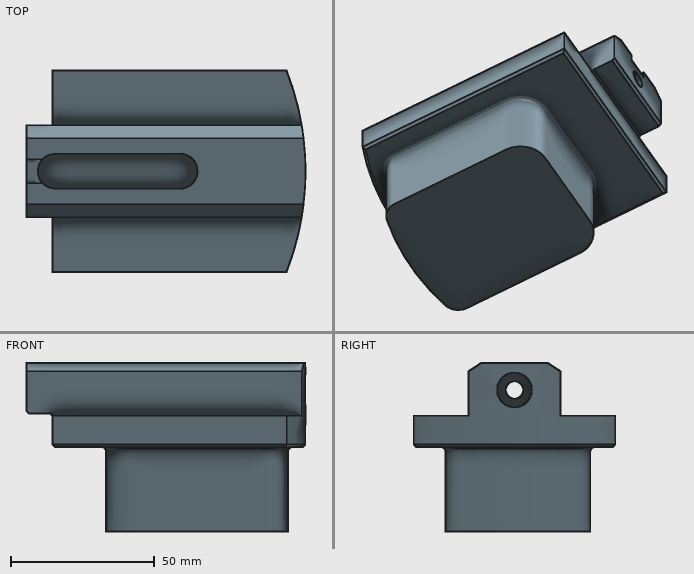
import cadquery as cq
import math

length = 97.0
width = 70.0
height = 58.6
nose_radius = 96.0

plate_start = 9.0
plate_bottom = height - 29.3
plate_top = height - 18.3
edge_chamfer = 1.0

rail_width = 32.0
rail_bevel_width = 4.5
rail_bevel_height = 2.9
rail_step = 0.7

boss_start = 27.6
boss_end = 91.0
boss_width = 50.4
boss_offset_y = 1.2
boss_y_min = boss_offset_y - boss_width / 2
boss_y_max = boss_offset_y + boss_width / 2
boss_start_corner_radius = 10.0
boss_end_corner_radius = 6.0
boss_root_fillet = 1.5
select_margin = 0.5

slot_start = 4.0
slot_length = 55.5
slot_width = 12.0
notch_width = 8.2
notch_depth = 3.0
bore_depth = 9.4
small_bore_diameter = 6.0
large_bore_diameter = slot_width
slot_floor_clearance = 0.6
slot_depth = bore_depth + large_bore_diameter / 2 + slot_floor_clearance


def rounded_nose_blank(start, end, y_min, y_max, bottom, top):
    """Block whose +X end is an arc concentric with the nose, cresting at x = end on Y = 0."""
    arc_centre = length - nose_radius
    radius = end - arc_centre
    corner_low = arc_centre + math.sqrt(radius**2 - y_min**2)
    corner_high = arc_centre + math.sqrt(radius**2 - y_max**2)
    return (
        cq.Workplane("XY", origin=(0, 0, bottom))
        .moveTo(start, y_min)
        .lineTo(corner_low, y_min)
        .threePointArc((end, 0), (corner_high, y_max))
        .lineTo(start, y_max)
        .close()
        .extrude(top - bottom)
    )


def make_plate():
    plate = rounded_nose_blank(plate_start, length, -width / 2, width / 2, plate_bottom, plate_top)
    return plate.faces("<Z").edges().chamfer(edge_chamfer)


def make_rail():
    underside = plate_top + rail_step
    half = rail_width / 2
    bevelled = (
        cq.Workplane("YZ")
        .moveTo(-half, plate_bottom + edge_chamfer)
        .lineTo(half, plate_bottom + edge_chamfer)
        .lineTo(half, height - rail_bevel_height)
        .lineTo(half - rail_bevel_width, height)
        .lineTo(-half + rail_bevel_width, height)
        .lineTo(-half, height - rail_bevel_height)
        .close()
        .extrude(length)
    )
    side = (
        cq.Workplane("XZ")
        .moveTo(0, height)
        .lineTo(0, underside + edge_chamfer)
        .lineTo(edge_chamfer, underside)
        .lineTo(plate_start - rail_step, underside)
        .lineTo(plate_start, plate_top)
        .lineTo(plate_start, plate_bottom + edge_chamfer)
        .lineTo(length, plate_bottom + edge_chamfer)
        .lineTo(length, height)
        .close()
        .extrude(rail_width / 2, both=True)
    )
    nose = rounded_nose_blank(0, length, -half, half, plate_bottom, height)
    return bevelled.intersect(side).intersect(nose)


def make_boss():
    boss = rounded_nose_blank(boss_start, boss_end, boss_y_min, boss_y_max, 0, plate_bottom)
    boss = boss.edges("|Z and <X").fillet(boss_start_corner_radius)
    end_corners = cq.selectors.BoxSelector(
        (boss_end - boss_end_corner_radius, boss_y_min - select_margin, 0),
        (boss_end, boss_y_max + select_margin, plate_bottom),
    )
    return boss.edges("|Z").edges(end_corners).fillet(boss_end_corner_radius)


def fillet_boss_root(body):
    """Fillet the seam where the boss meets the plate underside."""
    seam_box = cq.selectors.BoxSelector(
        (boss_start - select_margin, boss_y_min - select_margin, plate_bottom - select_margin),
        (
            boss_end + select_margin,
            boss_y_max + select_margin,
            plate_bottom + select_margin,
        ),
        boundingbox=True,
    )
    return body.edges(seam_box).fillet(boss_root_fillet)


def make_slot():
    return (
        cq.Workplane("XY", origin=(slot_start + slot_length / 2, 0, height - slot_depth))
        .slot2D(slot_length, slot_width)
        .extrude(slot_depth)
    )


def make_notch():
    notch_length = slot_start + slot_width / 2
    return cq.Workplane("XY", origin=(0, 0, height - notch_depth)).box(
        notch_length, notch_width, notch_depth, centered=(False, True, False)
    )


def make_bore(start, end, diameter):
    return (
        cq.Workplane("YZ", origin=(start, 0, height - bore_depth))
        .circle(diameter / 2)
        .extrude(end - start)
    )


slot_end_centre = slot_start + slot_length - slot_width / 2

result = make_plate().union(make_rail()).union(make_boss())
result = fillet_boss_root(result)
result = result.cut(make_slot()).cut(make_notch())
result = result.cut(make_bore(0, slot_end_centre, small_bore_diameter))
result = result.cut(make_bore(slot_end_centre, length, large_bore_diameter))